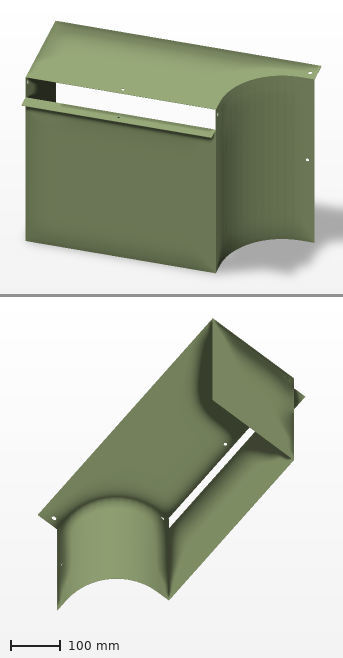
import cadquery as cq

LENGTH = 560.0
DEPTH = 240.0
HEIGHT = 400.0

SHEET = 0.8
LIP = 29.0
BEND_RADIUS = 130.5
FLANGE_SETBACK = 50.5
OPENING = 49.0

SMALL_HOLE = 5.0
LARGE_HOLE = 7.0
SLOT_LENGTH = 10.0
HOLE_INSET = 15.0
SIDE_SLOT_DROP = 21.0
TOP_SLOT_INSET = 30.0

BACK = DEPTH
FRONT = LIP
WALL_BACK = FRONT + SHEET
PLATE_FRONT = WALL_BACK + SHEET
STEP_X = LENGTH - LIP - BEND_RADIUS
FLANGE_X = LENGTH - LIP
FLANGE_Y = BACK - FLANGE_SETBACK
ARC_START_Y = FLANGE_Y - BEND_RADIUS
LIP_TOP = HEIGHT - OPENING
MIDDLE_X = STEP_X / 2
DIAGONAL = 0.5 ** 0.5


def box(x0, x1, y0, y1, z0, z1):
    return cq.Workplane("XY").box(x1 - x0, y1 - y0, z1 - z0, centered=False).translate((x0, y0, z0))


def step_profile(offset, front):
    """Plate outline from front to the back, its stepped edge moved into the box by offset."""
    radius = BEND_RADIUS + offset
    arc_middle = (FLANGE_X - radius * DIAGONAL, ARC_START_Y + radius * DIAGONAL)
    return (
        cq.Workplane("XY")
        .moveTo(0, front)
        .lineTo(STEP_X - offset, front)
        .lineTo(STEP_X - offset, ARC_START_Y)
        .threePointArc(arc_middle, (FLANGE_X, FLANGE_Y + offset))
        .lineTo(LENGTH, FLANGE_Y + offset)
        .lineTo(LENGTH, BACK)
        .lineTo(0, BACK)
        .close()
    )


top_plate = step_profile(SHEET, PLATE_FRONT).extrude(SHEET).translate((0, 0, HEIGHT - SHEET))
step_wall = step_profile(0, WALL_BACK).extrude(HEIGHT).cut(step_profile(SHEET, WALL_BACK).extrude(HEIGHT))

left_wall = box(0, SHEET, WALL_BACK, BACK, 0, HEIGHT)
front_wall = box(0, STEP_X, FRONT, WALL_BACK, 0, LIP_TOP)
front_lip = box(0, STEP_X, 0, WALL_BACK, LIP_TOP - SHEET, LIP_TOP)

shell = top_plate.union(step_wall).union(left_wall).union(front_wall).union(front_lip)

lip_hole = cq.Workplane("XY").center(MIDDLE_X, HOLE_INSET).circle(SMALL_HOLE / 2).extrude(HEIGHT)
top_hole = (
    cq.Workplane("XY").center(MIDDLE_X, WALL_BACK + HOLE_INSET).circle(LARGE_HOLE / 2).extrude(HEIGHT)
)
top_slot = (
    cq.Workplane("XY")
    .center(LENGTH - HOLE_INSET, BACK - TOP_SLOT_INSET)
    .slot2D(SLOT_LENGTH, LARGE_HOLE, 90)
    .extrude(HEIGHT)
)

flange_hole = (
    cq.Workplane("XZ", origin=(LENGTH - HOLE_INSET, BACK, HEIGHT / 2))
    .circle(LARGE_HOLE / 2)
    .extrude(DEPTH)
)

side_slot = (
    cq.Workplane("YZ", origin=(0, WALL_BACK + HOLE_INSET, HEIGHT - SIDE_SLOT_DROP))
    .slot2D(SLOT_LENGTH, LARGE_HOLE, 90)
    .extrude(STEP_X)
)

result = shell
for opening in (lip_hole, top_hole, top_slot, flange_hole, side_slot):
    result = result.cut(opening)